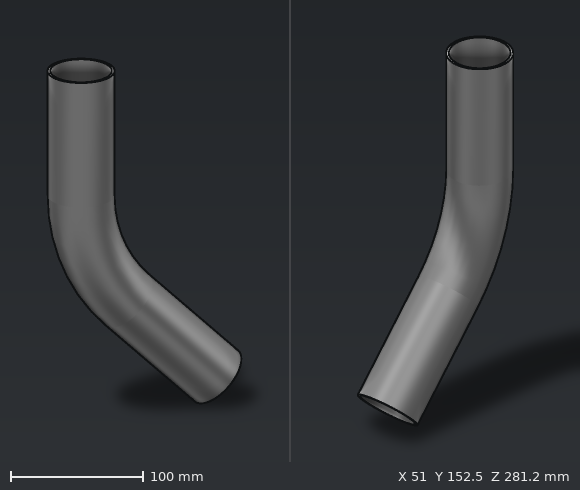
import cadquery as cq
import math

outer_diameter = 51.0
inner_diameter = 46.7
total_height = 281.2
leg_length = 101.2
bend_angle = 45.0

angle = math.radians(bend_angle)
lower_rim_drop = outer_diameter / 2 * math.sin(angle)
bend_height = total_height - leg_length - leg_length * math.cos(angle) - lower_rim_drop
bend_radius = bend_height / math.sin(angle)


def tube_section(workplane):
    """Draw the ring-shaped cross-section of the tube."""
    return workplane.circle(outer_diameter / 2).circle(inner_diameter / 2)


upper_leg = tube_section(cq.Workplane("XY")).extrude(leg_length)

bend = tube_section(cq.Workplane("XY")).revolve(
    bend_angle, (0, bend_radius, 0), (1, bend_radius, 0)
)

bend_end = cq.Plane(
    origin=(0, bend_radius * (1 - math.cos(angle)), -bend_height),
    xDir=(1, 0, 0),
    normal=(0, math.sin(angle), -math.cos(angle)),
)
lower_leg = tube_section(cq.Workplane(bend_end)).extrude(leg_length)

result = upper_leg.union(bend).union(lower_leg)